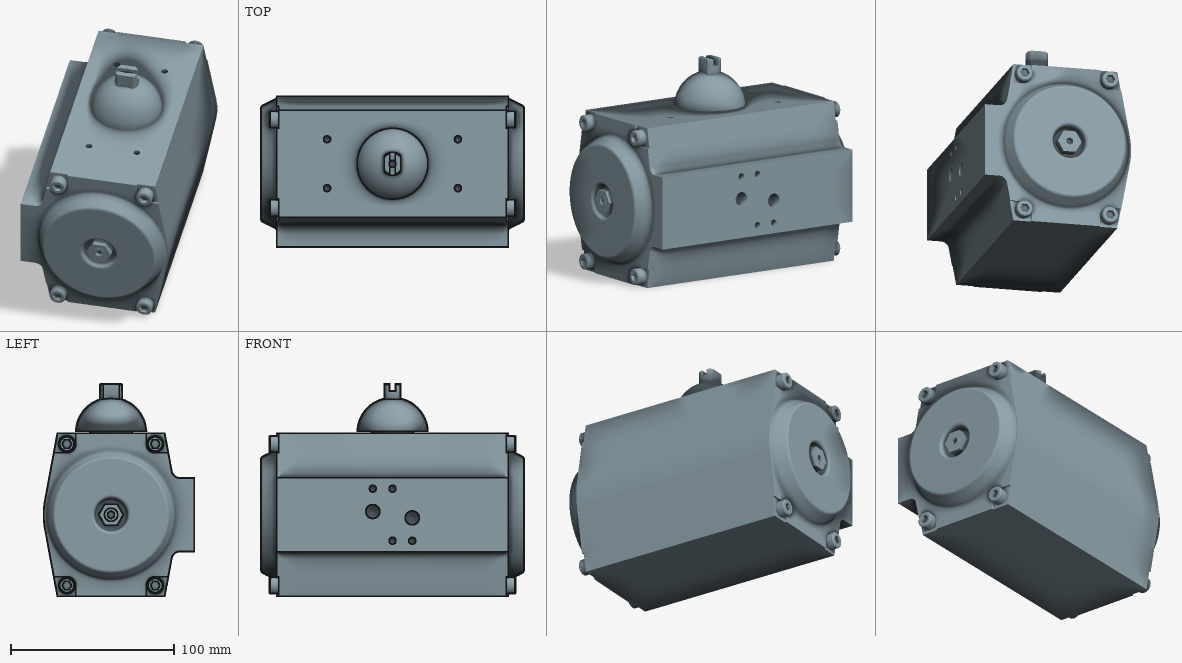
import cadquery as cq
import math


body_height = 100.0
half_height = body_height / 2
top_half_width = 32.8
crown_radius = 41.4
pad_face_y = -51.0
pad_half_height = 22.5
pad_fillet = 5.0

cap_end = 70.8
boss_end = 80.5
boss_base_radius = 40.0
boss_end_radius = 35.1
boss_rim_fillet = 2.0
boss_base_fillet = 1.3

recess_mouth_radius = 10.6
recess_floor_radius = 9.5
recess_depth = 6.5
recess_fillet = 2.0
nut_across_flats = 13.0
stud_diameter = 8
nut_inset = 0.2
stud_socket_across_flats = 4.0
stud_socket_depth = 3.2

screw_y = 27.0
screw_z = 43.3
screw_seat = 69.5
screw_head_end = 75.5
screw_head_diameter = 10.0
screw_head_chamfer = 0.6
screw_socket_across_flats = 5.0
screw_socket_depth = 3.0
notch_radius = 5.5

dome_radius = 21.7
dome_gap = 1.0
dome_ring_diameter = 26.0
shaft_top = 80.0
shaft_diameter = 14.0
shaft_width = 10.0
shaft_chamfer = 0.5
shaft_slot_width = 3.5
shaft_slot_depth = 4.2

tip_angle = 118
small_hole_diameter = 4.2
small_hole_depth = 8
port_diameter = 8.5
port_depth = 10.0
top_hole_spacing_x = 80.0
top_hole_spacing_y = 30.0
pad_hole_pitch_x = 12.0
pad_hole_z = 16.0
port_offset_z = 2.0

edge_margin = 0.2


def section_outline():
    """Body section in the YZ plane, with a crown arc on +Y and the port pad on -Y."""
    corner_distance = math.hypot(top_half_width, half_height)
    corner_angle = math.atan2(half_height, top_half_width)
    tangent_angle = corner_angle - math.acos(crown_radius / corner_distance)
    crown_y = crown_radius * math.cos(tangent_angle)
    crown_z = crown_radius * math.sin(tangent_angle)

    flank_slope = (crown_y - top_half_width) / (half_height - crown_z)
    pad_root_y = -top_half_width - flank_slope * (half_height - pad_half_height)

    return (
        cq.Workplane("YZ")
        .moveTo(top_half_width, half_height)
        .lineTo(crown_y, crown_z)
        .threePointArc((crown_radius, 0), (crown_y, -crown_z))
        .lineTo(top_half_width, -half_height)
        .lineTo(-top_half_width, -half_height)
        .lineTo(pad_root_y, -pad_half_height)
        .lineTo(pad_face_y, -pad_half_height)
        .lineTo(pad_face_y, pad_half_height)
        .lineTo(pad_root_y, pad_half_height)
        .lineTo(-top_half_width, half_height)
        .close()
    )


def half_body():
    """The +X half of the body with its end cap, with filleted pad roots."""
    body = section_outline().extrude(cap_end)
    pad_root_zone = cq.selectors.BoxSelector(
        (0, pad_face_y + pad_fillet, -half_height),
        (cap_end, -top_half_width - edge_margin, half_height),
    )
    return body.edges("|X").edges(pad_root_zone).fillet(pad_fillet)


def x_plane(x):
    """Workplane facing +X at the given place along the cylinder axis."""
    return cq.Workplane("YZ", origin=(x, 0, 0))


def hexagon(x, across_flats, length):
    """Hexagonal prism along +X with two of its flats facing up and down."""
    across_corners = across_flats / math.cos(math.radians(30))
    return x_plane(x).polygon(6, across_corners).extrude(length)


def drill(diameter, depth):
    """Drill along -Z from the origin, with a conical tip below the full depth."""
    radius = diameter / 2
    tip_length = radius / math.tan(math.radians(tip_angle / 2))
    return (
        cq.Workplane("XZ")
        .polyline([(0, 0), (radius, 0), (radius, -depth), (0, -depth - tip_length)])
        .close()
        .revolve(360, (0, 0, 0), (0, 1, 0))
    )


def add_boss(part):
    """Conical boss on the +X face, rounded at its rim and foot, with a round recess and lock nut."""
    boss_length = boss_end - cap_end
    cone = (
        cq.Workplane("XY", origin=(cap_end, 0, 0))
        .lineTo(0, boss_base_radius)
        .lineTo(boss_length, boss_end_radius)
        .lineTo(boss_length, 0)
        .close()
        .revolve(360, (0, 0, 0), (1, 0, 0))
    )
    part = part.union(cone)
    part = part.faces(">X").edges().fillet(boss_rim_fillet)
    foot_center = cq.selectors.BoxSelector(
        (cap_end - edge_margin, -edge_margin, -edge_margin),
        (cap_end + edge_margin, edge_margin, edge_margin),
    )
    part = part.edges(foot_center).fillet(boss_base_fillet)

    floor_x = boss_end - recess_depth
    recess = (
        x_plane(floor_x)
        .circle(recess_floor_radius)
        .workplane(offset=recess_depth)
        .circle(recess_mouth_radius)
        .loft(ruled=True)
    )
    recess = recess.faces("<X").edges().fillet(recess_fillet)
    part = part.cut(recess)
    mouth_edge = cq.selectors.RadiusNthSelector(0)
    part = part.faces(">X").edges(mouth_edge).fillet(recess_fillet)

    nut = hexagon(floor_x, nut_across_flats, recess_depth - nut_inset)
    stud = x_plane(floor_x).circle(stud_diameter / 2).extrude(recess_depth)
    stud_socket = hexagon(boss_end - stud_socket_depth, stud_socket_across_flats, stud_socket_depth)
    stud_socket = stud_socket.rotate((0, 0, 0), (1, 0, 0), 90)
    return part.union(nut).union(stud).cut(stud_socket)


def add_cap_screws(part):
    """Four socket screws on the +X cap, each seated in a shallow corner notch."""
    notch_size = 2 * half_height
    notch_shift = notch_size / 2 - notch_radius
    notch = x_plane(screw_seat).rect(notch_size, notch_size).extrude(cap_end - screw_seat)
    notch = notch.edges("|X").fillet(notch_radius)

    head = x_plane(screw_seat).circle(screw_head_diameter / 2).extrude(screw_head_end - screw_seat)
    head = head.faces(">X").chamfer(screw_head_chamfer)
    socket = hexagon(screw_head_end - screw_socket_depth, screw_socket_across_flats, screw_socket_depth)
    screw = head.cut(socket)

    for side_y in (-1, 1):
        for side_z in (-1, 1):
            notch_center = (0, side_y * (screw_y + notch_shift), side_z * (screw_z + notch_shift))
            screw_center = (0, side_y * screw_y, side_z * screw_z)
            part = part.cut(notch.translate(notch_center)).union(screw.translate(screw_center))
    return part


def pinion_top():
    """Indicator dome on its ring, with the flatted and slotted shaft end above it."""
    ring = cq.Workplane("XY", origin=(0, 0, half_height)).circle(dome_ring_diameter / 2).extrude(dome_gap)

    dome = cq.Workplane("XY").sphere(dome_radius, angle1=0)
    gap_disc = cq.Workplane("XY").circle(2 * dome_radius).extrude(dome_gap)
    dome = dome.cut(gap_disc).translate((0, 0, half_height))

    shaft_length = shaft_top - half_height
    shaft = cq.Workplane("XY", origin=(0, 0, half_height)).circle(shaft_diameter / 2).extrude(shaft_length)
    shaft = shaft.faces(">Z").chamfer(shaft_chamfer)
    flats = cq.Workplane("XY").box(shaft_width, shaft_diameter, 2 * shaft_top)
    shaft = shaft.intersect(flats)

    slot = cq.Workplane("XY").box(shaft_slot_width, shaft_diameter, 2 * shaft_slot_depth)
    slot = slot.translate((0, 0, shaft_top))
    center_hole = drill(small_hole_diameter, small_hole_depth).translate((0, 0, shaft_top))
    return dome.union(ring).union(shaft).cut(slot).cut(center_hole)


def drill_top_face(part):
    """Four mounting holes around the dome."""
    hole = drill(small_hole_diameter, small_hole_depth)
    for side_x in (-1, 1):
        for side_y in (-1, 1):
            place = (side_x * top_hole_spacing_x / 2, side_y * top_hole_spacing_y / 2, half_height)
            part = part.cut(hole.translate(place))
    return part


def drill_pad(part):
    """Air ports and valve mounting holes in the pad; the pattern repeats under a half turn."""
    port = drill(port_diameter, port_depth).rotate((0, 0, 0), (1, 0, 0), 90)
    hole = drill(small_hole_diameter, small_hole_depth).rotate((0, 0, 0), (1, 0, 0), 90)
    for turn in (-1, 1):
        part = part.cut(port.translate((turn * pad_hole_pitch_x, pad_face_y, -turn * port_offset_z)))
        for column in (0, 1):
            place = (turn * column * pad_hole_pitch_x, pad_face_y, -turn * pad_hole_z)
            part = part.cut(hole.translate(place))
    return part


half_part = add_cap_screws(add_boss(half_body()))
result = half_part.union(half_part.mirror("YZ"))
result = result.union(pinion_top())
result = drill_top_face(result)
result = drill_pad(result)